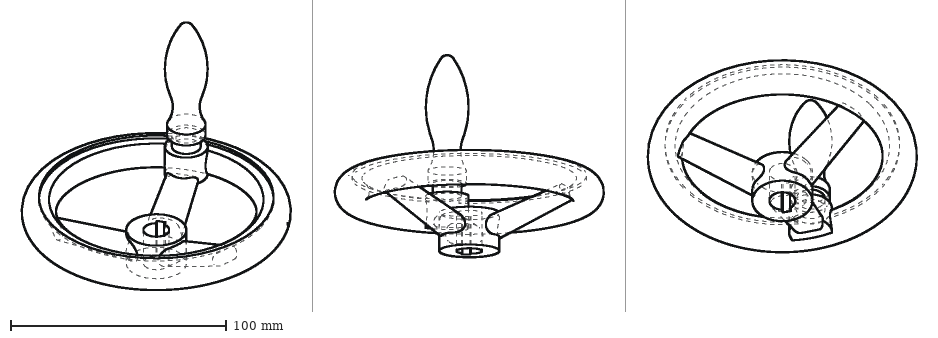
import cadquery as cq
import math

rim_outer_diameter = 125.0
rim_section_radius = 8.0
rim_height = 28.0
rim_step_depth = 1.5
rim_radius = rim_outer_diameter / 2 - rim_section_radius
rim_top = rim_height + rim_section_radius

hub_diameter = 28.0
hub_height = 18.0
bore_diameter = 12.0
keyway_width = 4.0
keyway_reach = 7.8

spoke_count = 3
spoke_first_angle = 90.0
spoke_flat_width = 8.7
spoke_root_height = 5.6
spoke_root_thickness = 9.9
spoke_tip_thickness = 5.7

handle_offset = 47.0
boss_diameter = 20.0
boss_bottom = 21.0
boss_top = rim_top
neck_radius = 6.75
collar_radius = 9.0
collar_bottom = 42.0
collar_top = 48.0
waist_radius = 6.3
waist_height = 57.7
grip_start_radius = 7.4
grip_start_height = 63.8
grip_radius = 10.0
grip_widest_height = 78.3
grip_end_radius = 3.2
grip_end_height = 101.0
handle_top = 103.0


def make_rim():
    ring = (
        cq.Workplane("YZ")
        .center(rim_radius, rim_height)
        .circle(rim_section_radius)
        .revolve(axisStart=(-rim_radius, 0), axisEnd=(-rim_radius, 1))
    )
    step_floor = rim_top - rim_step_depth
    step = cq.Workplane("XY", origin=(0, 0, step_floor)).circle(rim_radius).extrude(rim_step_depth)
    return ring.cut(step)


def make_hub():
    return cq.Workplane("XY").circle(hub_diameter / 2).extrude(hub_height)


def make_bore():
    bore = cq.Workplane("XY").circle(bore_diameter / 2).extrude(hub_height)
    keyway = (
        cq.Workplane("XY")
        .center(0, keyway_reach / 2)
        .rect(keyway_width, keyway_reach)
        .extrude(hub_height)
    )
    return bore.union(keyway)


def make_spoke(angle):
    rise = rim_height - spoke_root_height
    length = math.hypot(rim_radius, rise)
    root_plane = cq.Plane(
        origin=(0, 0, spoke_root_height),
        xDir=(0, 1, 0),
        normal=(rim_radius, 0, rise),
    )
    spoke = (
        cq.Workplane(root_plane)
        .slot2D(spoke_flat_width + spoke_root_thickness, spoke_root_thickness)
        .workplane(offset=length)
        .slot2D(spoke_flat_width + spoke_tip_thickness, spoke_tip_thickness)
        .loft(ruled=True)
    )
    return spoke.rotate((0, 0, 0), (0, 0, 1), angle)


def make_boss():
    return (
        cq.Workplane("XY", origin=(0, handle_offset, boss_bottom))
        .circle(boss_diameter / 2)
        .extrude(boss_top - boss_bottom)
    )


def concave_arc_middle(end_radius, end_height):
    """Middle of an arc that leaves the waist parallel to the handle axis."""
    flare = end_radius - waist_radius
    reach = end_height - waist_height
    arc_radius = (flare**2 + reach**2) / (2 * flare)
    half_angle = math.asin(abs(reach) / arc_radius) / 2
    middle_radius = waist_radius + arc_radius * (1 - math.cos(half_angle))
    middle_height = waist_height + math.copysign(arc_radius * math.sin(half_angle), reach)
    return middle_radius, middle_height


def make_handle():
    dome_rise = handle_top - grip_end_height
    dome_radius = (grip_end_radius**2 + dome_rise**2) / (2 * dome_rise)
    dome_half_angle = math.asin(grip_end_radius / dome_radius) / 2
    dome_middle = (
        dome_radius * math.sin(dome_half_angle),
        handle_top - dome_radius * (1 - math.cos(dome_half_angle)),
    )
    profile = (
        cq.Workplane("YZ")
        .moveTo(0, boss_bottom)
        .lineTo(neck_radius, boss_bottom)
        .lineTo(neck_radius, collar_bottom)
        .lineTo(collar_radius, collar_bottom)
        .lineTo(collar_radius, collar_top)
        .threePointArc(concave_arc_middle(collar_radius, collar_top), (waist_radius, waist_height))
        .threePointArc(
            concave_arc_middle(grip_start_radius, grip_start_height),
            (grip_start_radius, grip_start_height),
        )
        .threePointArc((grip_radius, grip_widest_height), (grip_end_radius, grip_end_height))
        .threePointArc(dome_middle, (0, handle_top))
        .close()
    )
    return profile.revolve(axisStart=(0, 0), axisEnd=(0, 1)).translate((0, handle_offset, 0))


wheel = make_rim().union(make_hub())
for index in range(spoke_count):
    wheel = wheel.union(make_spoke(spoke_first_angle + index * 360 / spoke_count))

result = wheel.union(make_boss()).union(make_handle()).cut(make_bore())